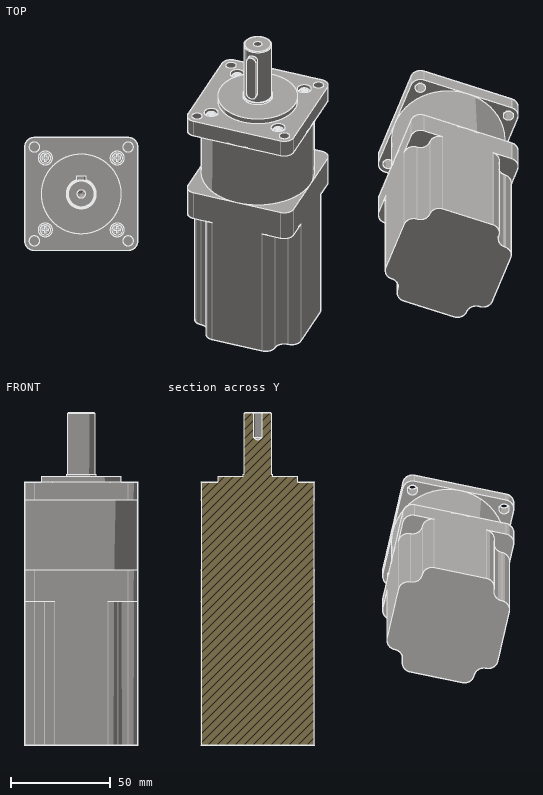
import cadquery as cq
import math

TOTAL_LENGTH = 167.0
BODY_WIDTH = 57.0
HALF_WIDTH = BODY_WIDTH / 2
CORNER_RADIUS = 5.0

RELIEF_TOP = 72.1
MOTOR_TOP = 88.0
FLANGE_BOTTOM = 123.0
FLANGE_TOP = 132.1
PILOT_TOP = 135.0
COLLAR_TOP = 136.0

PILOT_DIAMETER = 40.0
COLLAR_DIAMETER = 15.0
SHAFT_DIAMETER = 14.0
SHAFT_CHAMFER = 0.5

CENTER_HOLE_DIAMETER = 4.2
CENTER_HOLE_DEPTH = 12.5
DRILL_TIP_ANGLE = 118.0

KEY_WIDTH = 5.0
KEY_LENGTH = 25.0
KEY_END_GAP = 2.8
KEY_FACE_Y = 9.0

MOUNT_OFFSET = 23.5
MOUNT_HOLE_DIAMETER = 5.2

SCREW_OFFSET = 18.0
SCREW_BORE_DIAMETER = 7.0
SCREW_BORE_DEPTH = 3.0
SCREW_HEAD_DIAMETER = 5.2
SCREW_HEAD_RECESS = 0.8
SCREW_HEAD_FILLET = 0.8
CROSS_LENGTH = 3.3
CROSS_SLOT_WIDTH = 0.8
CROSS_DEPTH = 1.0


def four_corners(offset):
    return [(x, y) for x in (-offset, offset) for y in (-offset, offset)]


def cylinder(diameter, bottom, top):
    return cq.Workplane("XY", origin=(0, 0, bottom)).circle(diameter / 2).extrude(top - bottom)


def rounded_block(bottom, top):
    block = cq.Workplane("XY", origin=(0, 0, bottom)).rect(BODY_WIDTH, BODY_WIDTH)
    return block.extrude(top - bottom).edges("|Z").fillet(CORNER_RADIUS)


def corner_relief():
    """Cutter for the (+X, +Y) motor corner: a hollow quarter arc between two rounded lips."""
    r = CORNER_RADIUS
    hollow_center = HALF_WIDTH - r
    hollow_edge = hollow_center - r
    lip_start = hollow_edge - r
    clear = HALF_WIDTH + r
    bulge = r * math.sqrt(0.5)
    return (
        cq.Workplane("XY")
        .moveTo(HALF_WIDTH, lip_start)
        .threePointArc((hollow_center + bulge, lip_start + bulge), (hollow_center, hollow_edge))
        .threePointArc((hollow_center - bulge, hollow_center - bulge), (hollow_edge, hollow_center))
        .threePointArc((lip_start + bulge, hollow_center + bulge), (lip_start, HALF_WIDTH))
        .lineTo(lip_start, clear)
        .lineTo(clear, clear)
        .lineTo(clear, lip_start)
        .close()
        .extrude(RELIEF_TOP)
    )


def motor():
    body = rounded_block(0, MOTOR_TOP)
    relief = corner_relief()
    for quarter in range(4):
        body = body.cut(relief.rotate((0, 0, 0), (0, 0, 1), quarter * 90))
    return body


def screw_head():
    """Domed cross-head screw standing on the counterbore floor, centered on the Z axis."""
    floor = FLANGE_TOP - SCREW_BORE_DEPTH
    top = FLANGE_TOP - SCREW_HEAD_RECESS
    head = cylinder(SCREW_HEAD_DIAMETER, floor, top).faces(">Z").edges().fillet(SCREW_HEAD_FILLET)
    for length_x, length_y in ((CROSS_LENGTH, CROSS_SLOT_WIDTH), (CROSS_SLOT_WIDTH, CROSS_LENGTH)):
        slot = cq.Workplane("XY", origin=(0, 0, top - CROSS_DEPTH)).rect(length_x, length_y)
        head = head.cut(slot.extrude(CROSS_DEPTH))
    return head


def output_flange():
    flange = rounded_block(FLANGE_BOTTOM, FLANGE_TOP)
    mount_hole = cylinder(MOUNT_HOLE_DIAMETER, FLANGE_BOTTOM, FLANGE_TOP)
    for x, y in four_corners(MOUNT_OFFSET):
        flange = flange.cut(mount_hole.translate((x, y, 0)))
    screw_bore = cylinder(SCREW_BORE_DIAMETER, FLANGE_TOP - SCREW_BORE_DEPTH, FLANGE_TOP)
    head = screw_head()
    for x, y in four_corners(SCREW_OFFSET):
        flange = flange.cut(screw_bore.translate((x, y, 0))).union(head.translate((x, y, 0)))
    return flange


def shaft():
    bar = cylinder(SHAFT_DIAMETER, FLANGE_TOP, TOTAL_LENGTH).faces(">Z").edges().chamfer(SHAFT_CHAMFER)
    hole_radius = CENTER_HOLE_DIAMETER / 2
    hole_floor = TOTAL_LENGTH - CENTER_HOLE_DEPTH
    tip_length = hole_radius / math.tan(math.radians(DRILL_TIP_ANGLE / 2))
    hole = (
        cq.Workplane("XZ")
        .moveTo(0, hole_floor - tip_length)
        .lineTo(hole_radius, hole_floor)
        .lineTo(hole_radius, TOTAL_LENGTH)
        .lineTo(0, TOTAL_LENGTH)
        .close()
        .revolve(360, (0, 0), (0, 1))
    )
    key_middle = TOTAL_LENGTH - KEY_END_GAP - KEY_LENGTH / 2
    key = (
        cq.Workplane("XZ", origin=(0, 0, key_middle))
        .slot2D(KEY_LENGTH, KEY_WIDTH, 90)
        .extrude(-KEY_FACE_Y)
    )
    return bar.union(key).cut(hole)


gearbox = cylinder(BODY_WIDTH, MOTOR_TOP, FLANGE_BOTTOM)
pilot = cylinder(PILOT_DIAMETER, FLANGE_TOP, PILOT_TOP)
collar = cylinder(COLLAR_DIAMETER, FLANGE_TOP, COLLAR_TOP)

result = motor().union(gearbox).union(output_flange()).union(pilot).union(collar).union(shaft())